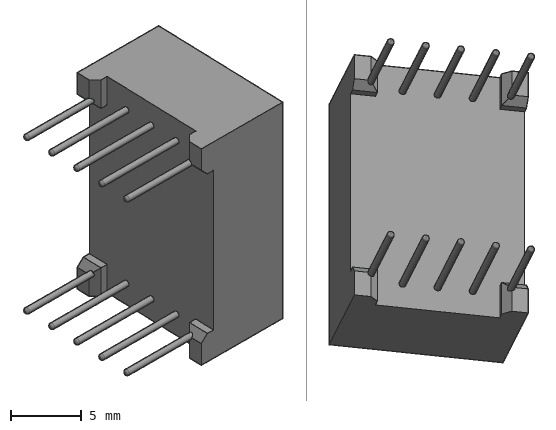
import cadquery as cq

body_width = 12.6
body_height = 19.0
overall_depth = 14.3
depth_over_feet = 8.0

foot_standoff = 1.2
foot_width = 1.8
foot_height = 2.5
foot_chamfer = 0.6

pins_per_row = 5
pin_pitch = 2.54
row_spacing = 15.24
pin_diameter = 0.5
pin_tip_rounding = 0.2

body_depth = depth_over_feet - foot_standoff
pin_face_y = foot_standoff
pin_length = overall_depth - body_depth
side_signs = (-1, 1)


def make_body():
    """Plain block whose pin face is set back from the foot tips."""
    block = cq.Workplane("XY").box(body_width, body_depth, body_height)
    return block.translate((0, pin_face_y + body_depth / 2, 0))


def make_foot(x_side, z_side):
    """Corner foot, chamfered on its two inner tip edges."""
    foot = (
        cq.Workplane("XY")
        .box(foot_width, foot_standoff, foot_height)
        .faces("<Y")
        .edges("<X or <Z")
        .chamfer(foot_chamfer)
    )
    foot = foot.translate((
        (body_width - foot_width) / 2,
        foot_standoff / 2,
        (body_height - foot_height) / 2,
    ))
    if x_side < 0:
        foot = foot.mirror("YZ")
    if z_side < 0:
        foot = foot.mirror("XY")
    return foot


def make_pin(x, z):
    """Round pin from the pin face to -Y, with a rounded tip."""
    pin = (
        cq.Workplane("XZ")
        .circle(pin_diameter / 2)
        .extrude(pin_length)
        .faces("<Y")
        .edges()
        .fillet(pin_tip_rounding)
    )
    return pin.translate((x, pin_face_y, z))


result = make_body()
for z_side in side_signs:
    for x_side in side_signs:
        result = result.union(make_foot(x_side, z_side))
    for index in range(pins_per_row):
        pin_x = (index - (pins_per_row - 1) / 2) * pin_pitch
        pin_z = z_side * row_spacing / 2
        result = result.union(make_pin(pin_x, pin_z))